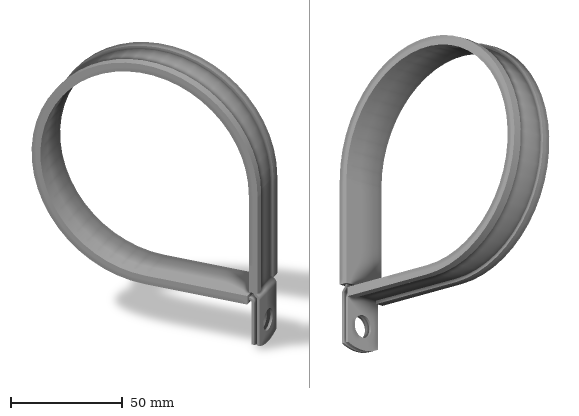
import cadquery as cq
import math


inner_radius = 50.8
outer_radius = 55.1
cushion_width = 22.1
vertical_leg_length = 48.7
horizontal_leg_length = 50.1

strap_thickness = 1.2
strap_width = 18.8
strap_outer_radius = 53.5
groove_width = 14.0

overall_width = 110.51
overall_height = 132.84
outer_tab_x = overall_width - outer_radius
tab_gap = 1.55
inner_tab_x = outer_tab_x - strap_thickness - tab_gap
tab_bottom_z = outer_radius - overall_height
straight_lead = 0.5
tab_end_sag = 2.1

hole_diameter = 10.4
hole_z = -66.65

bend_inside_radius = 1.2
bend_radius = bend_inside_radius + strap_thickness / 2
strap_mid_radius = strap_outer_radius - strap_thickness / 2
outer_tab_mid_x = outer_tab_x - strap_thickness / 2
inner_tab_mid_x = inner_tab_x - strap_thickness / 2
jog_angle = math.radians(45)


def extrude_centred(outline, width):
    """Extrude an XZ outline by the given width, centred on Y = 0."""
    return outline.extrude(width / 2, both=True)


def clip_band(small_radius, large_radius, width):
    """Band with three round quadrants and the two straight tangent legs."""
    diagonal = math.sqrt(0.5)
    outline = (
        cq.Workplane("XZ")
        .moveTo(large_radius, -vertical_leg_length)
        .lineTo(large_radius, 0)
        .threePointArc((-large_radius * diagonal, large_radius * diagonal), (0, -large_radius))
        .lineTo(horizontal_leg_length, -large_radius)
        .lineTo(horizontal_leg_length, -small_radius)
        .lineTo(0, -small_radius)
        .threePointArc((-small_radius * diagonal, small_radius * diagonal), (small_radius, 0))
        .lineTo(small_radius, -vertical_leg_length)
        .close()
    )
    return extrude_centred(outline, width)


def outer_tab():
    """Tab below the vertical leg, jogged outwards by two opposite 45 degree bends."""
    bend_sideways = bend_radius * (1 - math.cos(jog_angle))
    bend_drop = bend_radius * math.sin(jog_angle)
    slope_sideways = outer_tab_mid_x - strap_mid_radius - 2 * bend_sideways
    slope_drop = slope_sideways / math.tan(jog_angle)
    path = (
        cq.Workplane("XZ")
        .moveTo(strap_mid_radius, -vertical_leg_length)
        .line(0, -straight_lead)
        .tangentArcPoint((bend_sideways, -bend_drop))
        .line(slope_sideways, -slope_drop)
        .tangentArcPoint((bend_sideways, -bend_drop))
        .lineTo(outer_tab_mid_x, tab_bottom_z)
    )
    section = cq.Workplane("XY", origin=(strap_mid_radius, 0, -vertical_leg_length))
    return section.rect(strap_thickness, strap_width).sweep(path)


def inner_tab():
    """Tab at the end of the horizontal leg, turned down by one 90 degree bend."""
    path = (
        cq.Workplane("XZ")
        .moveTo(horizontal_leg_length, -strap_mid_radius)
        .lineTo(inner_tab_mid_x - bend_radius, -strap_mid_radius)
        .tangentArcPoint((bend_radius, -bend_radius))
        .lineTo(inner_tab_mid_x, tab_bottom_z)
    )
    section = cq.Workplane("YZ", origin=(horizontal_leg_length, 0, -strap_mid_radius))
    return section.rect(strap_width, strap_thickness).sweep(path)


def tab_envelope():
    """Tab shape seen along X: straight sides, rounded lower end and a bolt hole."""
    half_width = strap_width / 2
    shoulder_z = tab_bottom_z + tab_end_sag
    return (
        cq.Workplane("YZ")
        .moveTo(-half_width, 0)
        .lineTo(-half_width, shoulder_z)
        .threePointArc((0, tab_bottom_z), (half_width, shoulder_z))
        .lineTo(half_width, 0)
        .close()
        .extrude(overall_width)
        .cut(cq.Workplane("YZ").center(0, hole_z).circle(hole_diameter / 2).extrude(overall_width))
    )


cushion = clip_band(inner_radius, outer_radius, cushion_width)
groove = clip_band(strap_outer_radius, outer_radius, groove_width)
tabs = outer_tab().union(inner_tab()).intersect(tab_envelope())

result = cushion.cut(groove).union(tabs)